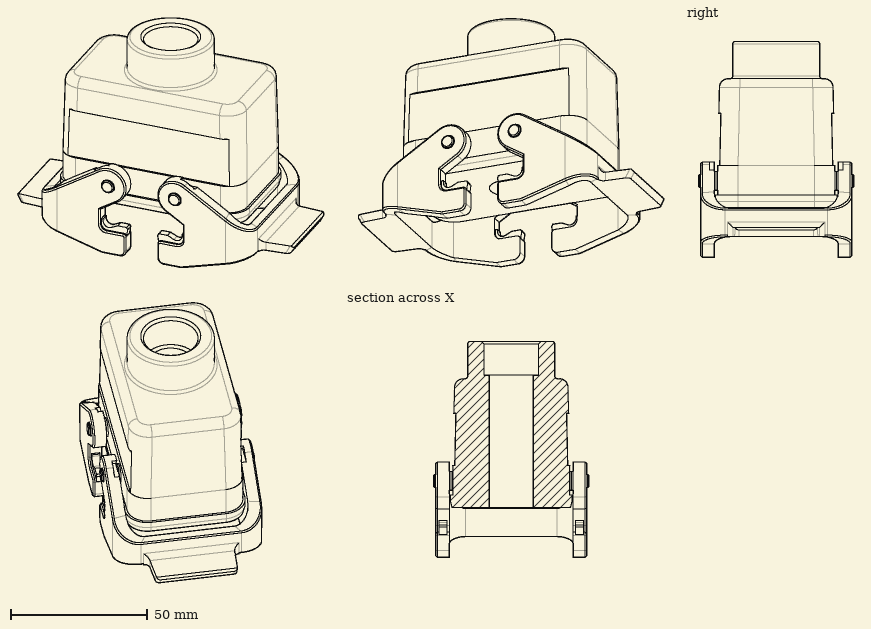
import cadquery as cq
import math


base_length = 72.7
base_width = 43.0
base_corner = 7.5
base_height = 15.5
roof_inset = 0.7
roof_height = 47.3
roof_edge_radius = 3.3

rim_step = 0.85
rim_height = 4.7
rim_bevel_height = 2.3
rim_bevel_width = 0.6

recess_depth = 0.75
recess_top = 34.6

collar_diameter = 32.0
collar_top = 61.0
collar_edge = 1.0
bore_diameter = 20.0
bore_floor = 48.6
hole_diameter = 16.0

pivot_x = 13.3
pivot_z = 9.8
hub_diameter = 7.0
hub_height = 0.6
hub_joint_y = base_width / 2 + hub_height
hub_embed = 1.0
pin_diameter = 4.8
pin_end_y = 28.5
pin_bevel = 0.4
pin_hole_diameter = 5.13

lever_back = -42.5
lever_outer_y = 27.7
arm_thickness = 5.0
bar_thickness = 3.6
lever_outer_corner = 9.0
lever_inner_corner = 6.0
lever_edge_bevel = 0.6
ruling_overrun = 0.3
ruling_steps = 8
arm_inner_y = lever_outer_y - arm_thickness
head_radius = 7.0
arm_angle = math.radians(32)
hook_bottom = -18.2
hook_bottom_start = -15.8
hook_front = -pivot_x + head_radius
hook_bottom_radius = 2.5
hook_top_radius = 1.2
lever_underside = -10.65
upper_slope = math.tan(arm_angle)
lower_slope = (hook_bottom - lever_underside) / (hook_bottom_start - lever_back)
lever_topside = (
    pivot_z + head_radius / math.cos(arm_angle) + (lever_back + pivot_x) * upper_slope
)
slot_back = -16.45
slot_floor = -8.95
slot_radius = 2.5

tongue_inner_y = 23.5
tongue_width = 3.0
tongue_back = -15.7
tongue_back_top = -4.7
tongue_embed = 0.8
tongue_top = -6.35
tongue_tip = -5.95
tongue_tip_drop = 0.8
tongue_root = -6.4
valley_radius = 2.3
valley_bottom = -7.75
valley_ramp = math.radians(25)

notch_depth = 1.8
notch_floor = 13.8
notch_start = -20.2
notch_end_floor = -12.4
notch_end_top = -14.4

handle_tip = -55.0
handle_top = -7.3
handle_root_width = 31.6
handle_tip_width = 30.0
handle_corner = 1.5
handle_root_radius = 2.0
tip_nose_height = 0.9
tip_nose_width = 0.7
tip_undercut = 1.3

pick_margin = 0.1


def rounded_block(length, width, corner, height):
    """Upright block on the origin plane with rounded vertical edges."""
    return cq.Workplane("XY").rect(length, width).extrude(height).edges("|Z").fillet(corner)


def y_cylinder(x, diameter, y_start, y_end):
    """Cylinder along Y at pivot height."""
    disc = cq.Workplane("XZ", origin=(x, y_start, pivot_z)).circle(diameter / 2)
    return disc.extrude(y_start - y_end)


def make_shell():
    """Hood body: straight base, drafted upper part and bevelled bottom rim."""
    base = rounded_block(base_length, base_width, base_corner, base_height)
    draft_angle = math.degrees(math.atan(roof_inset / (roof_height - base_height)))
    upper = (
        cq.Workplane("XY", origin=(0, 0, base_height))
        .rect(base_length, base_width).extrude(roof_height - base_height, taper=draft_angle)
        .edges("not #Z").fillet(base_corner)
        .faces(">Z").edges().fillet(roof_edge_radius)
    )
    rim = rounded_block(
        base_length + 2 * rim_step, base_width + 2 * rim_step, base_corner + rim_step, rim_height
    )
    rim = rim.faces("<Z").edges().chamfer(rim_bevel_height, rim_bevel_width)
    return base.union(upper).union(rim)


def label_recess(side):
    """Cutter for one long wall; its floor is parallel to the drafted wall."""
    draft = roof_inset / (roof_height - base_height)
    floor_bottom = base_width / 2 - recess_depth
    floor_top = floor_bottom - draft * (recess_top - base_height)
    return (
        cq.Workplane("YZ", origin=(-base_length / 2, 0, 0))
        .polyline([
            (side * floor_bottom, base_height),
            (side * base_width, base_height),
            (side * base_width, recess_top),
            (side * floor_top, recess_top),
        ])
        .close()
        .extrude(base_length)
    )


def pivot_pin(x, side):
    """Hub and pin standing out from one long wall of the hood."""
    hub = y_cylinder(x, hub_diameter, side * (base_width / 2 - hub_embed), side * hub_joint_y)
    pin = y_cylinder(x, pin_diameter, side * hub_joint_y, side * pin_end_y)
    pin = pin.faces(">Y" if side > 0 else "<Y").chamfer(pin_bevel)
    return hub.union(pin)


def make_hood():
    hood = make_shell()
    for side in (-1, 1):
        hood = hood.cut(label_recess(side))
    collar_plane = cq.Workplane("XY", origin=(0, 0, roof_height - collar_edge))
    collar_length = collar_top - roof_height + collar_edge
    collar = collar_plane.circle(collar_diameter / 2).extrude(collar_length)
    hood = hood.union(collar.faces(">Z").edges().fillet(collar_edge))
    collar_foot = cq.selectors.BoxSelector(
        (-pick_margin, -pick_margin, roof_height - pick_margin),
        (pick_margin, pick_margin, roof_height + pick_margin),
    )
    hood = hood.edges(collar_foot).fillet(collar_edge)
    bore = (
        cq.Workplane("XY", origin=(0, 0, bore_floor))
        .circle(bore_diameter / 2).extrude(collar_top - bore_floor)
    )
    mouth = cq.Solid.makeCone(
        bore_diameter / 2, bore_diameter / 2 + collar_edge, collar_edge,
        pnt=cq.Vector(0, 0, collar_top - collar_edge),
    )
    hole = cq.Workplane("XY").circle(hole_diameter / 2).extrude(collar_top)
    hood = hood.cut(bore).cut(mouth).cut(hole)
    for x in (-pivot_x, pivot_x):
        for side in (-1, 1):
            hood = hood.union(pivot_pin(x, side))
    return hood


def lever_profile():
    """Side outline of the lever, extruded over its whole width."""
    offset_x = head_radius * math.sin(arm_angle)
    offset_z = head_radius * math.cos(arm_angle)
    upper_tangent = (-pivot_x - offset_x, pivot_z + offset_z)
    lower_tangent = (-pivot_x + offset_x, pivot_z - offset_z)
    slot_top = lower_tangent[1] + (slot_back - lower_tangent[0]) * upper_slope
    diagonal = math.sqrt(0.5)
    return (
        cq.Workplane("XZ", origin=(0, lever_outer_y, 0))
        .moveTo(lever_back, lever_underside)
        .lineTo(lever_back, lever_topside)
        .lineTo(*upper_tangent)
        .threePointArc((hook_front, pivot_z), lower_tangent)
        .lineTo(slot_back, slot_top)
        .lineTo(slot_back, slot_floor + slot_radius)
        .threePointArc(
            (slot_back + slot_radius * (1 - diagonal), slot_floor + slot_radius * (1 - diagonal)),
            (slot_back + slot_radius, slot_floor),
        )
        .lineTo(hook_front - hook_top_radius, slot_floor)
        .radiusArc((hook_front, slot_floor - hook_top_radius), hook_top_radius)
        .lineTo(hook_front, hook_bottom + hook_bottom_radius)
        .radiusArc((hook_front - hook_bottom_radius, hook_bottom), hook_bottom_radius)
        .lineTo(hook_bottom_start, hook_bottom)
        .close()
        .extrude(2 * lever_outer_y)
    )


def lever_plan():
    """U shape of the lever from above: two arms and a crossbar."""
    depth = -lever_back - pivot_x + 2 * head_radius
    height = pivot_z + head_radius - hook_bottom
    start = cq.Workplane("XY", origin=(0, 0, hook_bottom))
    outer = (
        start.center(lever_back + depth / 2, 0)
        .rect(depth, 2 * lever_outer_y).extrude(height)
        .edges("|Z and <X").fillet(lever_outer_corner)
    )
    inner = (
        start.center(lever_back + bar_thickness + depth / 2, 0)
        .rect(depth, 2 * arm_inner_y).extrude(height)
        .edges("|Z and <X").fillet(lever_inner_corner)
    )
    return outer.cut(inner)


def crossbar_trim(bar_z, slope, height):
    """Cutters that level the crossbar and twist the corners from its level face to the sloped arms.

    They reach `height` up (or down if negative) from the crossbar's level face at `bar_z`.
    """
    outer_centre = (lever_back + lever_outer_corner, lever_outer_y - lever_outer_corner)
    bar_inner_x = lever_back + bar_thickness
    inner_centre = (bar_inner_x + lever_inner_corner, arm_inner_y - lever_inner_corner)
    rise = cq.Vector(0, 0, height)

    def ruling(angle):
        """Ends of the surface line across the corner, drawn out past both walls."""
        outer = cq.Vector(
            outer_centre[0] - lever_outer_corner * math.cos(angle),
            outer_centre[1] + lever_outer_corner * math.sin(angle),
            bar_z + slope * lever_outer_corner * (1 - math.cos(angle)),
        )
        inner = cq.Vector(
            inner_centre[0] - lever_inner_corner * math.cos(angle),
            inner_centre[1] + lever_inner_corner * math.sin(angle),
            bar_z + slope * (inner_centre[0] - lever_back) * (1 - math.cos(angle)),
        )
        across = outer - inner
        return outer + across * ruling_overrun, inner - across * ruling_overrun

    rulings = [ruling(math.pi / 2 * step / ruling_steps) for step in range(ruling_steps + 1)]
    outer_curve = cq.Edge.makeSpline([ends[0] for ends in rulings])
    inner_curve = cq.Edge.makeSpline([ends[1] for ends in rulings])
    twisted_face = cq.Face.makeRuledSurface(outer_curve, inner_curve)
    corner = cq.Workplane(cq.Solid.extrudeLinear(twisted_face, rise))
    outer_end, inner_end = rulings[0]
    bar = (
        cq.Workplane("XY", origin=(0, 0, bar_z))
        .polyline([
            (outer_end.x, outer_end.y),
            (inner_end.x, inner_end.y),
            (inner_end.x, -inner_end.y),
            (outer_end.x, -outer_end.y),
        ])
        .close()
        .extrude(height)
    )
    return [bar, corner, corner.mirror("XZ")]


def tongue(side):
    """Locking tongue along the slot floor, with a rounded valley behind its raised tip."""
    centre_x = tongue_back + valley_radius
    centre_z = valley_bottom + valley_radius
    ramp_x = centre_x + valley_radius * math.sin(valley_ramp)
    ramp_z = centre_z - valley_radius * math.cos(valley_ramp)
    crest_x = ramp_x + (tongue_top - ramp_z) / math.tan(valley_ramp)
    sunk_x = slot_back - tongue_embed
    sunk_z = slot_floor - hook_top_radius
    near_y = tongue_inner_y if side < 0 else tongue_inner_y + tongue_width
    return (
        cq.Workplane("XZ", origin=(0, side * near_y, 0))
        .moveTo(sunk_x, sunk_z)
        .lineTo(sunk_x, tongue_back_top)
        .lineTo(tongue_back, tongue_back_top)
        .lineTo(tongue_back, centre_z)
        .threePointArc((centre_x, valley_bottom), (ramp_x, ramp_z))
        .lineTo(crest_x, tongue_top)
        .lineTo(tongue_root, tongue_top)
        .lineTo(tongue_tip, tongue_top - tongue_tip_drop)
        .lineTo(tongue_root, sunk_z)
        .close()
        .extrude(tongue_width)
    )


def stop_notch(side):
    """Cutter for the undercut notch in the inner top edge of a lever head."""
    top = pivot_z + 2 * head_radius
    far_y = arm_inner_y if side < 0 else arm_inner_y + notch_depth
    lean = (notch_end_top - notch_end_floor) / (pivot_z + head_radius - notch_floor)
    return (
        cq.Workplane("XZ", origin=(0, side * far_y, 0))
        .polyline([
            (notch_start, notch_floor),
            (notch_end_floor, notch_floor),
            (notch_end_floor + lean * (top - notch_floor), top),
            (notch_start, top),
        ])
        .close()
        .extrude(notch_depth)
    )


def handle():
    """Tapered finger plate that flares into the crossbar, with a rounded, undercut tip."""
    root_x = lever_back - handle_root_radius
    buried_x = lever_back + bar_thickness / 2
    root_half = handle_root_width / 2
    tip_half = handle_tip_width / 2
    flare_half = root_half + handle_root_radius
    flare_top = handle_top + handle_root_radius
    nose_z = handle_top - tip_nose_height
    undercut_slope = tip_undercut / (nose_z - lever_underside)
    tip_top_x = handle_tip - undercut_slope * tip_nose_height
    side_shape = (
        cq.Workplane("XZ", origin=(0, flare_half, 0))
        .moveTo(buried_x, lever_underside)
        .lineTo(buried_x, flare_top)
        .lineTo(lever_back, flare_top)
        .radiusArc((root_x, handle_top), handle_root_radius)
        .lineTo(tip_top_x, handle_top)
        .lineTo(handle_tip + tip_undercut, lever_underside)
        .close()
        .extrude(2 * flare_half)
    )
    plan_shape = (
        cq.Workplane("XY", origin=(0, 0, lever_underside))
        .moveTo(buried_x, -flare_half)
        .lineTo(buried_x, flare_half)
        .lineTo(lever_back, flare_half)
        .radiusArc((root_x, root_half), handle_root_radius)
        .lineTo(tip_top_x, tip_half)
        .lineTo(tip_top_x, -tip_half)
        .lineTo(root_x, -root_half)
        .radiusArc((lever_back, -flare_half), handle_root_radius)
        .close()
        .extrude(flare_top - lever_underside)
    )
    plate = side_shape.intersect(plan_shape)
    plate = plate.faces("<X").edges("not |Y").fillet(handle_corner)
    nose = (
        cq.Workplane("XZ", origin=(0, flare_half, 0))
        .polyline([
            (handle_tip, nose_z),
            (tip_top_x, handle_top),
            (handle_tip + tip_nose_width, handle_top),
        ])
        .close()
        .extrude(2 * flare_half)
    )
    return plate.cut(nose)


def make_lever():
    """Locking lever of the -X side."""
    lever = lever_profile().intersect(lever_plan())
    corner_x = lever_back + lever_outer_corner
    corner_lines = cq.selectors.BoxSelector(
        (corner_x - pick_margin, -lever_outer_y - pick_margin, hook_bottom),
        (corner_x + pick_margin, lever_outer_y + pick_margin, pivot_z + head_radius),
    )
    outline_edges = cq.selectors.SubtractSelector(cq.Selector(), corner_lines)
    lever = lever.faces(">Y or <Y").edges(outline_edges).chamfer(lever_edge_bevel)
    trim_height = 2 * head_radius
    for cutter in crossbar_trim(lever_topside, upper_slope, trim_height):
        lever = lever.cut(cutter)
    for cutter in crossbar_trim(lever_underside, lower_slope, -trim_height):
        lever = lever.cut(cutter)
    for side in (-1, 1):
        lever = lever.union(tongue(side))
        lever = lever.cut(stop_notch(side))
        hub = y_cylinder(-pivot_x, hub_diameter, side * hub_joint_y, side * arm_inner_y)
        lever = lever.union(hub)
        hole = y_cylinder(-pivot_x, pin_hole_diameter, side * hub_joint_y, side * pin_end_y)
        lever = lever.cut(hole)
    return lever.union(handle())


hood = make_hood()
left_lever = make_lever()
levers = [left_lever, left_lever.mirror("YZ")]

result = cq.Compound.makeCompound([hood.val(), *[lever.val() for lever in levers]])